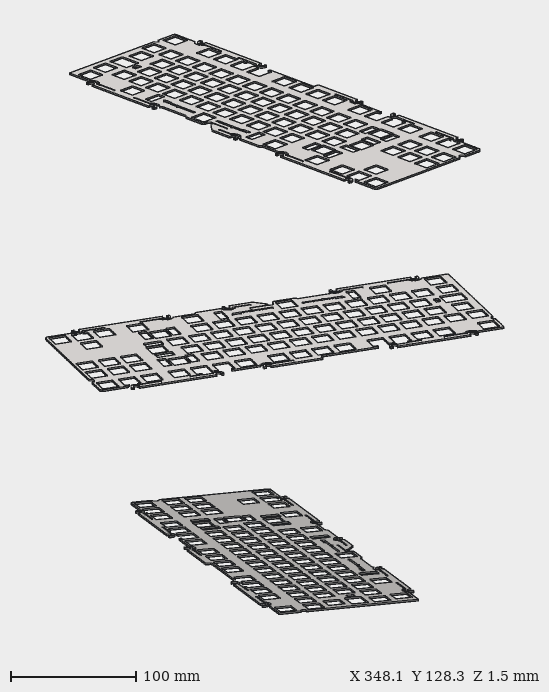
import cadquery as cq

length = 348.11
overall_width = 128.26
thickness = 1.5
half_length = length / 2
tab_tip = overall_width / 2
rim = 59.2
corner_chamfer = 1.6

pitch = 19.05
switch_size = 14.0
window_radius = 0.5
grid_width = 17.25
first_key_x = -grid_width / 2 * pitch
function_row_step = 1.25
bottom_row_y = -49.85
shift_row_y = bottom_row_y + pitch
caps_row_y = shift_row_y + pitch
tab_row_y = caps_row_y + pitch
number_row_y = tab_row_y + pitch
function_row_y = number_row_y + function_row_step * pitch
enter_y = (caps_row_y + tab_row_y) / 2

navigation = [15.25, 16.25, 17.25]
backspace = 13.5
enter = 13.875
right_shift = 13.125
spacebar = 7.0
function_keys = [0, 2, 3, 4, 5, 6.5, 7.5, 8.5, 9.5, 11, 12, 13, 14]
key_rows = [
    (function_row_y, function_keys + navigation),
    (number_row_y, list(range(13)) + [backspace] + navigation),
    (tab_row_y, [0.25] + [1.5 + i for i in range(12)] + navigation),
    (caps_row_y, [1.75 + i for i in range(12)]),
    (shift_row_y, [0.125] + [1.25 + i for i in range(11)] + [right_shift, 16.25]),
    (bottom_row_y, [0.25, 2.75, spacebar, 11.25, 13.75] + navigation),
    (enter_y, [enter]),
]
caps_lock = 0.25
caps_lock_width = switch_size + pitch / 4

stab_width = 7.0
stab_height = 15.0
stab_shift = 1.5
stab_spacing = 11.94
spacebar_stab_spacing = 57.15

spring_inner = 12.7
spring_outer = 48.5
spring_step = 40.7
spring_bottom = -48.6
spring_top = -46.8
spring_head_top = -45.7
spring_corner = 1.6
relief_offset = 30.8
relief_radius = 1.1

indicator_x = -145.5
indicator_y = -12.0
indicator_width = 4.2
indicator_height = 6.4
indicator_radius = 1.6

mount_y = 62.4
mount_bore = 2.1
snap_bore = 2.5
mount_radius = 4.2
mount_clearance = 6.3
tab_root = 60.3
TOP, BOTTOM = 1, -1
LEFT, RIGHT = -1, 1

top_mounts = [-145.6, -78.5, 30.7, 73.6, 144.8]
bottom_mounts = [-145.6, -77.3, 15.0, 68.7, 144.8]
mounts = [
    (top_mounts[0], TOP, LEFT, False),
    (top_mounts[1], TOP, RIGHT, True),
    (top_mounts[2], TOP, RIGHT, False),
    (top_mounts[3], TOP, LEFT, False),
    (top_mounts[4], TOP, RIGHT, False),
    (bottom_mounts[0], BOTTOM, LEFT, False),
    (bottom_mounts[1], BOTTOM, RIGHT, False),
    (bottom_mounts[2], BOTTOM, RIGHT, False),
    (bottom_mounts[3], BOTTOM, LEFT, True),
    (bottom_mounts[4], BOTTOM, RIGHT, False),
]
tabs = [
    (TOP, top_mounts[0], top_mounts[1], -122.2, -102.5),
    (TOP, top_mounts[3], top_mounts[4], 96.8, 121.9),
    (BOTTOM, bottom_mounts[0], bottom_mounts[1], -122.2, -100.4),
    (BOTTOM, bottom_mounts[3], bottom_mounts[4], 91.5, 121.9),
]
middle_tab_start = -16.1
middle_tab_root_end = 7.7
middle_tab_fillet = 1.0

rim_openings = [(-91.7, -65.9), (60.5, 86.0)]
rim_opening_bottom = mount_y - mount_clearance

arm_left = -21.9
arm_corner = 2.1
arm_slot_top = -53.0
arm_slot_bottom = -54.0
arm_slot_end = -0.9
spring_tab_left = -16.8
spring_tab_shoulder = -56.0
spring_tab_foot = -7.2
spring_tab_slot_start = -4.0

recess_start, recess_end, recess_depth = -70.9, -43.8, 2.1
step_start, step_end, step_depth = 20.8, 42.9, 2.1
edge_chamfer = 1.2
notch_y = 38.2
left_notch_radius = 2.4
right_notch_radius = 3.2


def block(x0, x1, y0, y1):
    """Full-thickness block between two X and two Y limits."""
    size_x, size_y = abs(x1 - x0), abs(y1 - y0)
    centre = cq.Workplane("XY").center((x0 + x1) / 2, (y0 + y1) / 2)
    return centre.rect(size_x, size_y).extrude(thickness)


def disc(x, y, radius):
    """Full-thickness disc."""
    return cq.Workplane("XY").center(x, y).circle(radius).extrude(thickness)


def prism(points):
    """Full-thickness body with a polygonal outline."""
    return cq.Workplane("XY").polyline(points).close().extrude(thickness)


def key_x(units):
    """X of a key centre given in key units."""
    return first_key_x + units * pitch


def plate():
    """Main sheet with its edge steps, side notches and rim openings."""
    body = block(-half_length, half_length, -rim, rim)
    body = body.edges("|Z and >X").chamfer(corner_chamfer)
    recess_top = -rim + recess_depth
    body = body.cut(prism([
        (bottom_mounts[1], -rim),
        (bottom_mounts[1], recess_top - edge_chamfer),
        (recess_start - edge_chamfer, recess_top - edge_chamfer),
        (recess_start, recess_top),
        (recess_end, recess_top),
        (recess_end + recess_depth, -rim),
    ]))
    body = body.union(prism([
        (step_start - step_depth, -rim),
        (step_start, -rim - step_depth),
        (step_end, -rim - step_depth),
        (step_end + step_depth, -rim),
    ]))
    body = body.cut(disc(-half_length, notch_y, left_notch_radius))
    body = body.cut(disc(half_length, notch_y, right_notch_radius))
    for start, end in rim_openings:
        body = body.cut(block(start, end, rim_opening_bottom, rim))
    for x, side, _, _ in mounts:
        body = body.cut(disc(x, side * mount_y, mount_clearance))
    return body


def spring_tab_opening():
    """Gap that frees the spring tab: side opening and upper slot."""
    diagonal_run = spring_tab_foot - spring_tab_left
    diagonal_rise = spring_tab_shoulder + tab_tip
    rim_x = spring_tab_left + diagonal_run * (spring_tab_shoulder + rim) / diagonal_rise
    return prism([
        (arm_left - edge_chamfer, -rim),
        (arm_left, -rim + edge_chamfer),
        (arm_left, arm_slot_top - arm_corner),
        (arm_left + arm_corner, arm_slot_top),
        (arm_slot_end, arm_slot_top),
        (arm_slot_end, arm_slot_bottom),
        (spring_tab_left, arm_slot_bottom),
        (spring_tab_left, spring_tab_shoulder),
        (rim_x, -rim),
    ])


def spring_tab():
    """Tab of the -Y edge with a slanted end, hung below the upper slot."""
    return prism([
        (spring_tab_left, spring_tab_shoulder),
        (spring_tab_foot, -tab_tip),
        (bottom_mounts[2], -tab_tip),
        (bottom_mounts[2], -tab_root),
        (spring_tab_slot_start, -tab_root),
        (spring_tab_slot_start, spring_tab_shoulder),
    ])


def rooted_tab(side, start, end, root_start, root_end):
    """Tab between two mounts, joined to the rim only at its root."""
    tab = block(start, end, side * tab_root, side * tab_tip)
    return tab.union(block(root_start, root_end, side * rim, side * tab_root))


def middle_tab():
    """Tab of the +Y edge that runs straight into the rim at its -X end."""
    tab = block(middle_tab_start, top_mounts[2], tab_root, tab_tip)
    tab = tab.edges("|Z and <X and >Y").fillet(middle_tab_fillet)
    tab = tab.union(block(middle_tab_start, middle_tab_root_end, rim, tab_root))
    toe = prism([
        (middle_tab_start, rim),
        (middle_tab_start, rim + middle_tab_fillet),
        (middle_tab_start - middle_tab_fillet, rim),
    ])
    return tab.union(toe)


def mount_hook(x, side, hook_side, snap):
    """Round end of a tab; open bores have a straight arm up to the tab tip."""
    hook = disc(x, side * mount_y, mount_radius)
    hook = hook.intersect(block(x - mount_radius, x + mount_radius, 0, side * tab_tip))
    if not snap:
        hook = hook.union(block(x, x + hook_side * mount_radius, side * mount_y, side * tab_tip))
    return hook


def mount_opening(x, side, snap):
    """Round snap bore, or a round-bottomed slot open at the tab tip."""
    if snap:
        return disc(x, side * mount_y, snap_bore)
    slot = block(x - mount_bore, x + mount_bore, side * mount_y, side * tab_tip)
    return slot.union(disc(x, side * mount_y, mount_bore))


def windows(centres, size_x, size_y):
    """Rectangular cutters with rounded corners, one at each centre."""
    cutters = cq.Workplane("XY").pushPoints(centres).rect(size_x, size_y).extrude(thickness)
    return cutters.edges("|Z").fillet(window_radius)


def switch_windows():
    centres = [(key_x(units), y) for y, row in key_rows for units in row]
    return windows(centres, switch_size, switch_size)


def stabilizer_windows():
    """Window pairs of the long keys; the enter key has its pair one above the other."""
    stabilized_keys = [
        (backspace, number_row_y - stab_shift, stab_spacing),
        (right_shift, shift_row_y - stab_shift, stab_spacing),
        (spacebar, bottom_row_y + stab_shift, spacebar_stab_spacing),
    ]
    upright = []
    for units, y, spacing in stabilized_keys:
        upright += [(key_x(units) + side * spacing, y) for side in (LEFT, RIGHT)]
    enter_x = key_x(enter) - stab_shift
    lying = [(enter_x, enter_y + side * stab_spacing) for side in (TOP, BOTTOM)]
    return windows(upright, stab_width, stab_height).add(windows(lying, stab_height, stab_width))


def spring_slot(side):
    """Narrow slot with a taller outer end and a small round relief below."""
    x = key_x(spacebar)
    slot = prism([
        (x + side * spring_inner, spring_bottom),
        (x + side * spring_inner, spring_top),
        (x + side * spring_step, spring_top),
        (x + side * spring_step, spring_head_top),
        (x + side * spring_outer, spring_head_top),
        (x + side * spring_outer, spring_bottom + spring_corner),
        (x + side * (spring_outer - spring_corner), spring_bottom),
    ])
    return slot.union(disc(x + side * relief_offset, spring_bottom, relief_radius))


def indicator_window():
    """Upright window with its -X corners rounded."""
    window = cq.Workplane("XY").center(indicator_x, indicator_y)
    window = window.rect(indicator_width, indicator_height).extrude(thickness)
    return window.edges("|Z and <X").fillet(indicator_radius)


result = plate().cut(spring_tab_opening())
for tab in tabs:
    result = result.union(rooted_tab(*tab))
result = result.union(middle_tab()).union(spring_tab())
for mount_x, side, hook_side, snap in mounts:
    result = result.union(mount_hook(mount_x, side, hook_side, snap))
for mount_x, side, hook_side, snap in mounts:
    result = result.cut(mount_opening(mount_x, side, snap))

result = result.cut(switch_windows())
result = result.cut(windows([(key_x(caps_lock), caps_row_y)], caps_lock_width, switch_size))
for window in stabilizer_windows().vals():
    result = result.cut(cq.Workplane(window))
for side in (LEFT, RIGHT):
    result = result.cut(spring_slot(side))
result = result.cut(indicator_window())